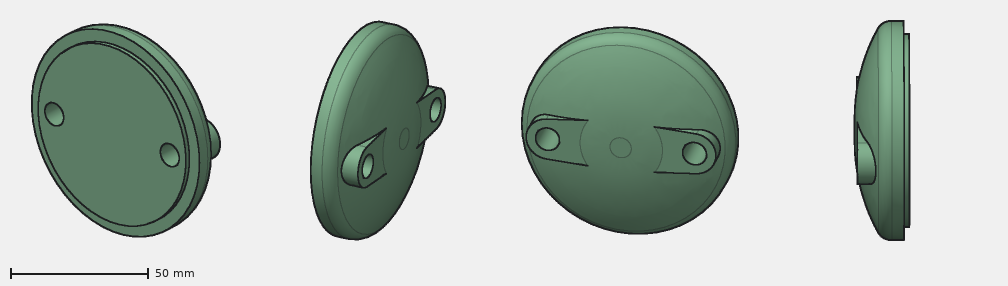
import cadquery as cq
import math

outer_radius = 40
spigot_radius = 35.2
spigot_depth = 2.0
shoulder_height = 6.6
total_height = 20
crown_flat_radius = 4
shoulder_radius = 5.6

bar_height = 19.0
boss_radius = 8
bar_middle_radius = 10.0
hole_spacing = 55.0
hole_diameter = 9.0

hole_offset = hole_spacing / 2
hole_centers = [(-hole_offset, 0), (hole_offset, 0)]


def point_on_arc(center, radius, angle):
    return (center[0] + radius * math.cos(angle), center[1] + radius * math.sin(angle))


def make_body():
    """Disc with a stepped front and a dome that is tangent to its flat crown and to its rounded shoulder."""
    shoulder_center = (outer_radius - shoulder_radius, shoulder_height)
    across = shoulder_center[0] - crown_flat_radius
    rise = total_height - shoulder_height
    dome_radius = (across**2 + rise**2 - shoulder_radius**2) / (2 * (rise - shoulder_radius))
    dome_center = (crown_flat_radius, total_height - dome_radius)
    join_angle = math.atan2(shoulder_center[1] - dome_center[1], across)
    join = point_on_arc(shoulder_center, shoulder_radius, join_angle)
    shoulder_middle = point_on_arc(shoulder_center, shoulder_radius, join_angle / 2)
    dome_middle = point_on_arc(dome_center, dome_radius, (join_angle + math.pi / 2) / 2)
    return (
        cq.Workplane("XY")
        .lineTo(spigot_radius, 0)
        .lineTo(spigot_radius, spigot_depth)
        .lineTo(outer_radius, spigot_depth)
        .lineTo(outer_radius, shoulder_height)
        .threePointArc(shoulder_middle, join)
        .threePointArc(dome_middle, (crown_flat_radius, total_height))
        .lineTo(0, total_height)
        .close()
        .revolve(360, (0, 0, 0), (0, 1, 0))
    )


def make_bar():
    """Bar with round ends, whose straight sides widen towards the middle of the disc."""
    lean = math.asin((bar_middle_radius - boss_radius) / hole_offset)
    end_x = hole_offset + boss_radius * math.sin(lean)
    end_z = boss_radius * math.cos(lean)
    middle_x = bar_middle_radius * math.sin(lean)
    middle_z = bar_middle_radius * math.cos(lean)
    tip_x = hole_offset + boss_radius
    return (
        cq.Workplane("XZ", origin=(0, spigot_depth, 0))
        .moveTo(-end_x, end_z)
        .lineTo(-middle_x, middle_z)
        .threePointArc((0, bar_middle_radius), (middle_x, middle_z))
        .lineTo(end_x, end_z)
        .threePointArc((tip_x, 0), (end_x, -end_z))
        .lineTo(middle_x, -middle_z)
        .threePointArc((0, -bar_middle_radius), (-middle_x, -middle_z))
        .lineTo(-end_x, -end_z)
        .threePointArc((-tip_x, 0), (-end_x, end_z))
        .close()
        .extrude(spigot_depth - bar_height)
    )


def make_holes():
    return cq.Workplane("XZ").pushPoints(hole_centers).circle(hole_diameter / 2).extrude(-total_height)


result = make_body().union(make_bar()).cut(make_holes())